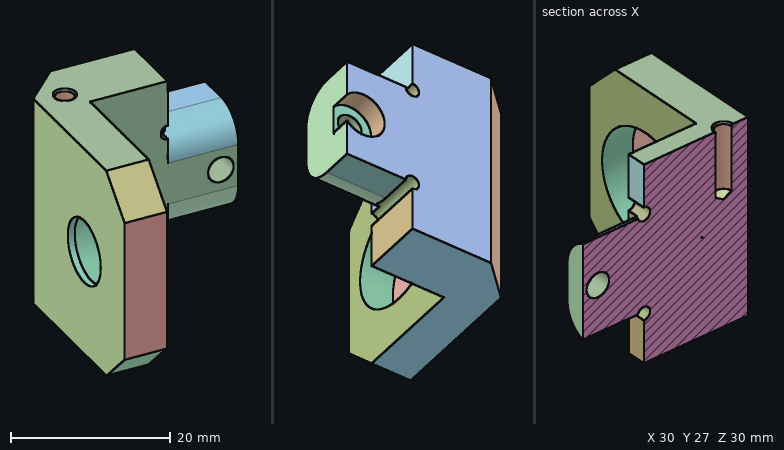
import cadquery as cq
import math

width = 30.0
length = 27.0
height = 30.0
leg_thickness = 9.0
plate_thickness = 6.0
corner_chamfer = 5.0

tab_length = 10.0
tab_height = 15.0
tab_round = leg_thickness / 2
relief_radius = 1.0
shoulder_y = length - tab_length

screw_diameter = 3.6
screw_head_diameter = 6.5
screw_head_depth = 3.0
screw_end_distance = 2.5

bore_x = 19.0
lip_diameter = 9.0
lip_thickness = 1.0
seat_diameter = 17.0

drill_x = 6.0
drill_y = 4.0
drill_diameter = 2.5
drill_mouth_diameter = 3.0
drill_depth = 10.0
drill_tip_angle = 118.0


def cylinder_x(diameter, depth, y, z):
    """Cylinder along +X starting on the outer face of the leg."""
    return cq.Workplane("YZ").center(y, z).circle(diameter / 2).extrude(depth)


def cylinder_y(diameter, start, end):
    """Cylinder along +Y on the axis of the plate bore."""
    sketch = cq.Workplane("XZ", origin=(bore_x, start, 0)).circle(diameter / 2)
    return sketch.extrude(start - end)


def make_body():
    """L-shaped body with a bevelled outer corner and clipped plate corners."""
    body = (
        cq.Workplane("XY", origin=(0, 0, -height / 2))
        .moveTo(corner_chamfer, 0)
        .lineTo(width, 0)
        .lineTo(width, plate_thickness)
        .lineTo(leg_thickness, plate_thickness)
        .lineTo(leg_thickness, shoulder_y)
        .lineTo(0, shoulder_y)
        .lineTo(0, corner_chamfer)
        .close()
        .extrude(height)
    )
    return body.faces(">X").edges("|Y").chamfer(corner_chamfer)


def make_tab():
    """Tab with its two inner long edges rounded."""
    tab = cq.Workplane("XY").box(leg_thickness, tab_length, tab_height, centered=(False, False, True))
    tab = tab.edges("|Y and >X").fillet(tab_round)
    return tab.translate((0, shoulder_y, 0))


def make_drill():
    """Drill shape with a conical tip and a small countersunk mouth."""
    radius = drill_diameter / 2
    shaft = cq.Solid.makeCylinder(radius, drill_depth, cq.Vector(0, 0, -drill_depth))
    tip = cq.Solid.makeCone(radius, 0, tip_height(), cq.Vector(0, 0, -drill_depth), cq.Vector(0, 0, -1))
    mouth_radius = drill_mouth_diameter / 2
    mouth = cq.Solid.makeCone(mouth_radius, radius, mouth_radius - radius, dir=cq.Vector(0, 0, -1))
    drill = cq.Workplane(shaft).union(cq.Workplane(tip)).union(cq.Workplane(mouth))
    return drill.translate((drill_x, drill_y, height / 2))


def tip_height():
    """Height of the cone left by the drill point."""
    return drill_diameter / 2 / math.tan(math.radians(drill_tip_angle / 2))


result = make_body().union(make_tab())

for side in (-1, 1):
    relief = cylinder_x(2 * relief_radius, leg_thickness, shoulder_y, side * tab_height / 2)
    result = result.cut(relief)

screw_y = length - screw_end_distance
result = result.cut(cylinder_x(screw_diameter, leg_thickness, screw_y, 0))
result = result.cut(cylinder_x(screw_head_diameter, screw_head_depth, screw_y, 0))

result = result.cut(cylinder_y(lip_diameter, 0, plate_thickness))
result = result.cut(cylinder_y(seat_diameter, lip_thickness, plate_thickness))

result = result.cut(make_drill())